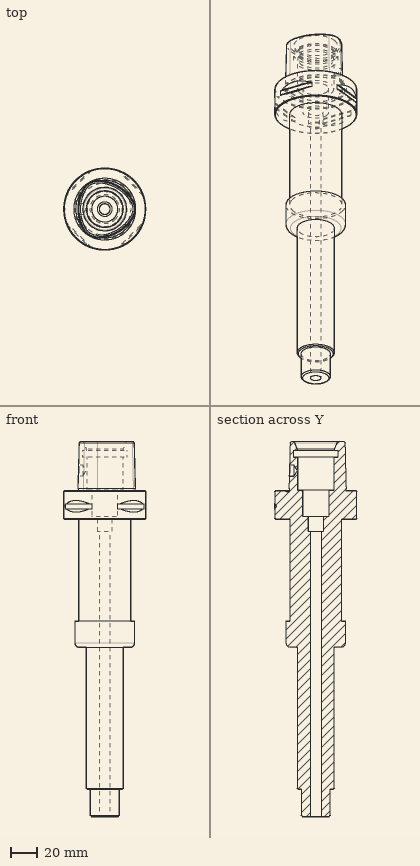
import cadquery as cq
import math

total_length = 287.7
flange_top = 250.0
flange_bottom = 228.0
collar_top = 150.0
collar_bottom = 129.8
tip_shoulder = 21.0

flange_diameter = 63.0
neck_diameter = 40.0
collar_diameter = 45.7
spindle_diameter = 28.5
tip_diameter = 22.5

flange_chamfer = 0.5
collar_fillet = 3.5
spindle_chamfer = 1.0
tip_chamfer = 1.2
shank_chamfer = 1.2

lobe_angles = (0, 120, 240)
lobe_half_sweep = 30
lobe_centre_distance = 11.2
lobe_radius_at_top = 11.5
taper_ratio = 1 / 20
taper_half_angle = math.degrees(math.atan(taper_ratio / 2))
relief_height = 1.5
relief_inset = 0.3

groove_outer_diameter = 47.5
groove_floor_diameter = 44.3
groove_depth = 1.0

mouth_diameter = 33.5
mouth_cone_diameter = 32.0
mouth_chamfer_depth = 1.5
mouth_throat_diameter = 28.2
mouth_depth = 6.0
throat_depth = 7.2
undercut_diameter = 34.0
undercut_depth = 12.0
bore_diameter = 27.5
bore_depth = 37.5
inner_bore_diameter = 19.9
inner_bore_depth = 57.5
pilot_diameter = 11.2
pilot_depth = 69.0
through_diameter = 8.0

drill_point_angle = 118.0
shank_hole_diameter = 8.3
shank_hole_height = 265.3
shank_hole_straight_depth = 3.5
flange_hole_diameter = 4.0

slot_height = 238.0
slot_count = 4
first_slot_angle = 45.0
slot_depth = 3.5
slot_floor_width = 3.7
slot_flank_depth = 2.5
slot_flank_angle = 45.0


def cylinder(diameter, bottom, top):
    return cq.Workplane("XY").workplane(offset=bottom).circle(diameter / 2).extrude(top - bottom)


def polar(radius, degrees):
    angle = math.radians(degrees)
    return (radius * math.cos(angle), radius * math.sin(angle))


def lobe_radius_at(height):
    return lobe_radius_at_top + (total_length - height) * taper_ratio / 2


def flat_distance(lobe_radius):
    """Distance from the axis to the middle of a shank side of constant-width section."""
    side_radius = lobe_radius + lobe_centre_distance * math.sqrt(3)
    return side_radius - lobe_centre_distance


def shank_outline(height, lobe_radius):
    """Three small lobe arcs joined by three large tangent arcs, with one lobe on +X."""
    def lobe_point(lobe_angle, turn):
        centre = polar(lobe_centre_distance, lobe_angle)
        offset = polar(lobe_radius, lobe_angle + turn)
        return (centre[0] + offset[0], centre[1] + offset[1])

    start = lobe_point(lobe_angles[0], -lobe_half_sweep)
    outline = cq.Workplane("XY").workplane(offset=height).moveTo(*start)
    for lobe_angle, next_angle in zip(lobe_angles, lobe_angles[1:] + lobe_angles[:1]):
        outline = outline.threePointArc(lobe_point(lobe_angle, 0), lobe_point(lobe_angle, lobe_half_sweep))
        side_middle = polar(flat_distance(lobe_radius), lobe_angle + 2 * lobe_half_sweep)
        outline = outline.threePointArc(side_middle, lobe_point(next_angle, -lobe_half_sweep))
    return outline.close()


def make_shank():
    taper_bottom = flange_top + relief_height
    taper_length = total_length - taper_bottom
    base_radius = lobe_radius_at(taper_bottom)
    taper = shank_outline(taper_bottom, base_radius).extrude(taper_length, taper=taper_half_angle)
    taper = taper.faces(">Z").chamfer(shank_chamfer)
    relief_bottom = flange_top - groove_depth
    relief = shank_outline(relief_bottom, base_radius - relief_inset).extrude(taper_bottom - relief_bottom)
    return taper.union(relief)


def make_flange():
    flange = cylinder(flange_diameter, flange_bottom, flange_top).edges().chamfer(flange_chamfer)
    groove = (
        cq.Workplane("XY").workplane(offset=flange_top).circle(groove_outer_diameter / 2)
        .workplane(offset=-groove_depth).circle(groove_floor_diameter / 2).loft(ruled=True)
    )
    return flange.cut(groove)


def make_spindle():
    neck = cylinder(neck_diameter, collar_top, flange_bottom)
    collar = cylinder(collar_diameter, collar_bottom, collar_top).faces("<Z").edges().fillet(collar_fillet)
    spindle = cylinder(spindle_diameter, tip_shoulder, collar_bottom).faces("<Z").chamfer(spindle_chamfer)
    tip = cylinder(tip_diameter, 0, tip_shoulder).faces("<Z").chamfer(tip_chamfer)
    return neck.union(collar).union(spindle).union(tip)


def make_bore():
    """Revolved cutter for the mouth cone, undercut, stepped bore and through hole."""
    steps = (
        (mouth_throat_diameter, throat_depth),
        (undercut_diameter, undercut_depth),
        (bore_diameter, bore_depth),
        (inner_bore_diameter, inner_bore_depth),
        (pilot_diameter, pilot_depth),
        (through_diameter, total_length),
    )
    profile = (
        cq.Workplane("XZ").moveTo(0, total_length)
        .lineTo(mouth_diameter / 2, total_length)
        .lineTo(mouth_cone_diameter / 2, total_length - mouth_chamfer_depth)
    )
    depth = mouth_depth
    for diameter, end_depth in steps:
        profile = profile.lineTo(diameter / 2, total_length - depth)
        profile = profile.lineTo(diameter / 2, total_length - end_depth)
        depth = end_depth
    return profile.lineTo(0, 0).close().revolve(360, (0, 0, 0), (0, 1, 0))


def make_drilled_hole(diameter, surface_distance, height, straight_depth=0.0):
    """Blind hole on the -X side with a conical end; its run-in reaches past the outer surface."""
    cone_depth = diameter / 2 / math.tan(math.radians(drill_point_angle / 2))
    cone_start = -surface_distance + straight_depth
    cone_tip = cone_start + cone_depth
    return (
        cq.Workplane("XZ")
        .moveTo(-flange_diameter, height)
        .lineTo(-flange_diameter, height + diameter / 2)
        .lineTo(cone_start, height + diameter / 2)
        .lineTo(cone_tip, height)
        .close()
        .revolve(360, (cone_start, height, 0), (cone_tip, height, 0))
    )


def make_slot(angle):
    """Straight groove tangent to the flange rim, square inside and flared at the mouth."""
    floor_distance = flange_diameter / 2 - slot_depth
    flank_distance = flange_diameter / 2 - slot_flank_depth
    mouth_width = slot_floor_width + 2 * slot_flank_depth * math.tan(math.radians(slot_flank_angle))
    return (
        cq.Workplane("XZ")
        .moveTo(floor_distance, slot_height - slot_floor_width / 2)
        .lineTo(flank_distance, slot_height - slot_floor_width / 2)
        .lineTo(flange_diameter / 2, slot_height - mouth_width / 2)
        .lineTo(flange_diameter / 2, slot_height + mouth_width / 2)
        .lineTo(flank_distance, slot_height + slot_floor_width / 2)
        .lineTo(floor_distance, slot_height + slot_floor_width / 2)
        .close()
        .extrude(flange_diameter / 2, both=True)
        .rotate((0, 0, 0), (0, 0, 1), angle)
    )


result = make_spindle().union(make_flange()).union(make_shank()).cut(make_bore())

hole_flat_distance = flat_distance(lobe_radius_at(shank_hole_height))
result = result.cut(
    make_drilled_hole(shank_hole_diameter, hole_flat_distance, shank_hole_height, shank_hole_straight_depth)
)
result = result.cut(make_drilled_hole(flange_hole_diameter, flange_diameter / 2, slot_height))

for index in range(slot_count):
    result = result.cut(make_slot(first_slot_angle + index * 360 / slot_count))